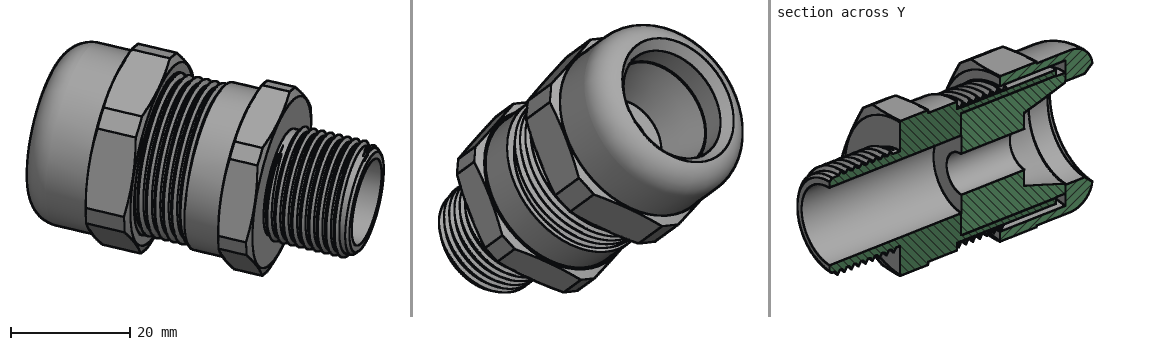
import cadquery as cq
import math

BODY_END = 56.4

DOME_DIAMETER = 31.55
DOME_RADIUS = 4.95
NUT_HEX_START = 12.0
NUT_END = 19.95
NUT_FLATS = 32.0
NUT_CORNERS = 35.0

BODY_HEX_START = 35.25
BODY_HEX_END = 41.3
BODY_HEX_FLATS = 30.0
BODY_HEX_CORNERS = 33.0

HEX_TILT = 4.9
HEX_CHAMFER_LENGTH = 0.55
HEX_CHAMFER_INSET = 0.15

MOUTH_DIAMETER = 23.1
MOUTH_DEPTH = 1.75
ENTRY_DIAMETER = 20.0
ENTRY_DEPTH = 5.9

COLLAR_START = 29.1
COLLAR_DIAMETER = 29.0

RIDGE_WIDTH = 1.05
RIDGE_SINK = 0.1
FADED_HEIGHT = 0.05
FADE_TURNS = 0.25
POINTS_PER_TURN = 24

NUT_THREAD_DIAMETER = 28.0
NUT_THREAD_ROOT = 26.1
NUT_THREAD_TURNS = 7
NUT_THREAD_START = 18.5
NUT_THREAD_ANGLE = 0.0
NUT_THREAD_CLEARANCE = 0.05

END_THREAD_DIAMETER = 20.0
END_THREAD_ROOT = 18.5
END_THREAD_TURNS = 9
END_THREAD_LENGTH = 13.55
END_THREAD_START = 41.9
END_THREAD_ANGLE = 90.0
END_CHAMFER = 0.55

PITCH = END_THREAD_LENGTH / END_THREAD_TURNS

BODY_BORE = 15.0
TUBE_START = 7.9
SEAL_DIAMETER = 23.55
SEAL_END = 28.2
FUNNEL_MOUTH = 19.6
FUNNEL_FLOOR = 14.1
FUNNEL_END = 14.65
SEAL_BORE = 7.9


def cylinder(diameter, start, end):
    """Solid cylinder along X from start to end."""
    return cq.Workplane("YZ", origin=(start, 0, 0)).circle(diameter / 2).extrude(end - start)


def turned(profile):
    """Solid of revolution about X from (x, radius) points."""
    return cq.Workplane("XY").polyline(profile).close().revolve(360, (0, 0, 0), (1, 0, 0))


def hexagon(flats, corners, start, end):
    """Hexagon with truncated corners and chamfered ends."""
    apothem = flats / 2
    edge_radius = corners / 2
    flat_half_angle = math.acos(apothem / edge_radius)
    outline = []
    for side in range(6):
        flat_angle = math.radians(90 + HEX_TILT + 60 * side)
        for angle in (flat_angle - flat_half_angle, flat_angle + flat_half_angle):
            outline.append((edge_radius * math.cos(angle), edge_radius * math.sin(angle)))
    prism = cq.Workplane("YZ", origin=(start, 0, 0)).polyline(outline).close().extrude(end - start)
    face_radius = apothem - HEX_CHAMFER_INSET
    envelope = turned([
        (start, 0),
        (start, face_radius),
        (start + HEX_CHAMFER_LENGTH, edge_radius),
        (end - HEX_CHAMFER_LENGTH, edge_radius),
        (end, face_radius),
        (end, 0),
    ])
    return prism.intersect(envelope)


def thread_ridge(crest_diameter, root_diameter, start, turns, start_angle, sink=0.0):
    """Right-hand triangular ridge that fades into the root at both ends."""
    crest_radius = crest_diameter / 2
    base_radius = root_diameter / 2 - sink
    faded_radius = root_diameter / 2 - sink + FADED_HEIGHT
    height = crest_radius - root_diameter / 2
    base_half_width = RIDGE_WIDTH / 2 * (height + sink) / height

    def crest_radius_at(turn):
        rise = min(1, turn / FADE_TURNS, (turns - turn) / FADE_TURNS)
        return faded_radius + (crest_radius - faded_radius) * rise

    def base_radius_at(turn):
        return base_radius

    def helix(radius_at, shift):
        points = []
        turn_counts = []
        for step in range(turns * POINTS_PER_TURN + 1):
            turn = step / POINTS_PER_TURN
            angle = math.radians(start_angle) + 2 * math.pi * turn
            radius = radius_at(turn)
            x = start + shift + PITCH * turn
            turn_counts.append(turn)
            points.append(cq.Vector(x, radius * math.cos(angle), radius * math.sin(angle)))
        return cq.Edge.makeSpline(points, parameters=turn_counts)

    crest = helix(crest_radius_at, 0)
    rear = helix(base_radius_at, -base_half_width)
    front = helix(base_radius_at, base_half_width)
    faces = [
        cq.Face.makeRuledSurface(rear, crest),
        cq.Face.makeRuledSurface(crest, front),
        cq.Face.makeRuledSurface(front, rear),
    ]
    for corners in (
        [rear.startPoint(), crest.startPoint(), front.startPoint()],
        [rear.endPoint(), crest.endPoint(), front.endPoint()],
    ):
        faces.append(cq.Face.makeFromWires(cq.Wire.makePolygon(corners, close=True)))
    solid = cq.Solid.makeSolid(cq.Shell.makeShell(faces))
    return cq.Workplane(solid.fix())


def make_dome_nut():
    dome = cylinder(DOME_DIAMETER, 0, NUT_HEX_START).faces("<X").edges().fillet(DOME_RADIUS)
    nut = dome.union(hexagon(NUT_FLATS, NUT_CORNERS, NUT_HEX_START, NUT_END))
    cavity_radius = NUT_THREAD_DIAMETER / 2 + NUT_THREAD_CLEARANCE
    opening = turned([
        (0, 0),
        (0, MOUTH_DIAMETER / 2),
        (MOUTH_DEPTH, ENTRY_DIAMETER / 2),
        (ENTRY_DEPTH, ENTRY_DIAMETER / 2),
        (ENTRY_DEPTH, cavity_radius),
        (NUT_END, cavity_radius),
        (NUT_END, 0),
    ])
    return nut.cut(opening)


def make_body():
    end_thread_core = cylinder(END_THREAD_ROOT, BODY_HEX_END, BODY_END)
    end_thread_core = end_thread_core.faces(">X").edges().chamfer(END_CHAMFER)
    body = (
        cylinder(NUT_THREAD_ROOT, TUBE_START, COLLAR_START)
        .union(cylinder(COLLAR_DIAMETER, COLLAR_START, BODY_HEX_START))
        .union(hexagon(BODY_HEX_FLATS, BODY_HEX_CORNERS, BODY_HEX_START, BODY_HEX_END))
        .union(end_thread_core)
        .union(thread_ridge(END_THREAD_DIAMETER, END_THREAD_ROOT, END_THREAD_START,
                            END_THREAD_TURNS, END_THREAD_ANGLE, RIDGE_SINK))
    )
    seal_seat = cylinder(SEAL_DIAMETER, TUBE_START, SEAL_END)
    bore = cylinder(BODY_BORE, SEAL_END, BODY_END)
    return body.cut(seal_seat).cut(bore)


def make_nut_thread():
    """Separate helical ridge seated on the body's tube and ending against the collar."""
    ridge = thread_ridge(NUT_THREAD_DIAMETER, NUT_THREAD_ROOT, NUT_THREAD_START,
                         NUT_THREAD_TURNS, NUT_THREAD_ANGLE)
    return ridge.intersect(cylinder(COLLAR_DIAMETER, TUBE_START, COLLAR_START))


def make_seal():
    return turned([
        (ENTRY_DEPTH, FUNNEL_MOUTH / 2),
        (ENTRY_DEPTH, SEAL_DIAMETER / 2),
        (SEAL_END, SEAL_DIAMETER / 2),
        (SEAL_END, SEAL_BORE / 2),
        (FUNNEL_END, SEAL_BORE / 2),
        (FUNNEL_END, FUNNEL_FLOOR / 2),
    ])


dome_nut = make_dome_nut()
body = make_body()
nut_thread = make_nut_thread()
seal = make_seal()

result = cq.Compound.makeCompound([dome_nut.val(), body.val(), nut_thread.val(), seal.val()])